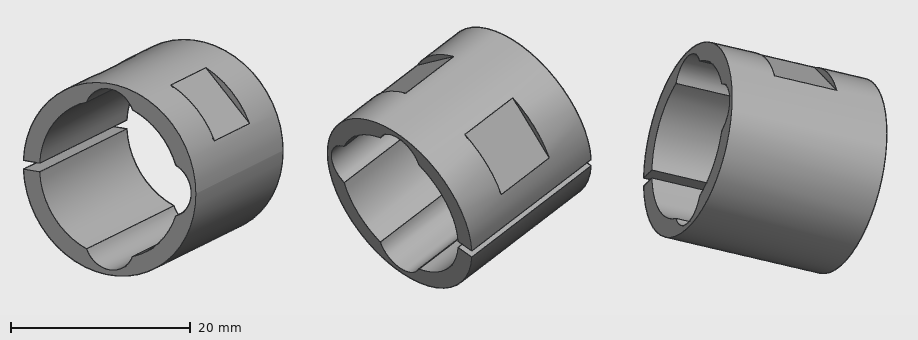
import cadquery as cq
import math

outer_radius = 11.12
bore_radius = 9.0
length = 19.18
slot_width = 1.0

groove_radius = 3.18
groove_reach = 10.5
groove_angles = (-90, 0, 90)

flat_distance = 10.38
flat_length = 7.7
flat_angles = (45, 135)


def cylinder(radius, center_x=0, center_z=0):
    """Full-length cylinder parallel to Y, centred on Y = 0."""
    return (
        cq.Workplane("XZ")
        .center(center_x, center_z)
        .circle(radius)
        .extrude(length / 2, both=True)
    )


def groove_cutter(angle):
    """Cylinder that scoops a groove along the bore wall."""
    offset = groove_reach - groove_radius
    direction = math.radians(angle)
    return cylinder(groove_radius, offset * math.cos(direction), offset * math.sin(direction))


def flat_cutter(angle):
    """Block that removes the outer wall beyond a flat face."""
    block = cq.Workplane("XY").box(
        outer_radius, flat_length, 2 * outer_radius, centered=(False, True, True)
    )
    return block.translate((flat_distance, 0, 0)).rotate((0, 0, 0), (0, 1, 0), -angle)


sleeve = cylinder(outer_radius).cut(cylinder(bore_radius))

for groove_angle in groove_angles:
    sleeve = sleeve.cut(groove_cutter(groove_angle))

for flat_angle in flat_angles:
    sleeve = sleeve.cut(flat_cutter(flat_angle))

slot = cq.Workplane("XY").box(
    outer_radius, length, slot_width, centered=(False, True, True)
).translate((-outer_radius, 0, 0))

result = sleeve.cut(slot)